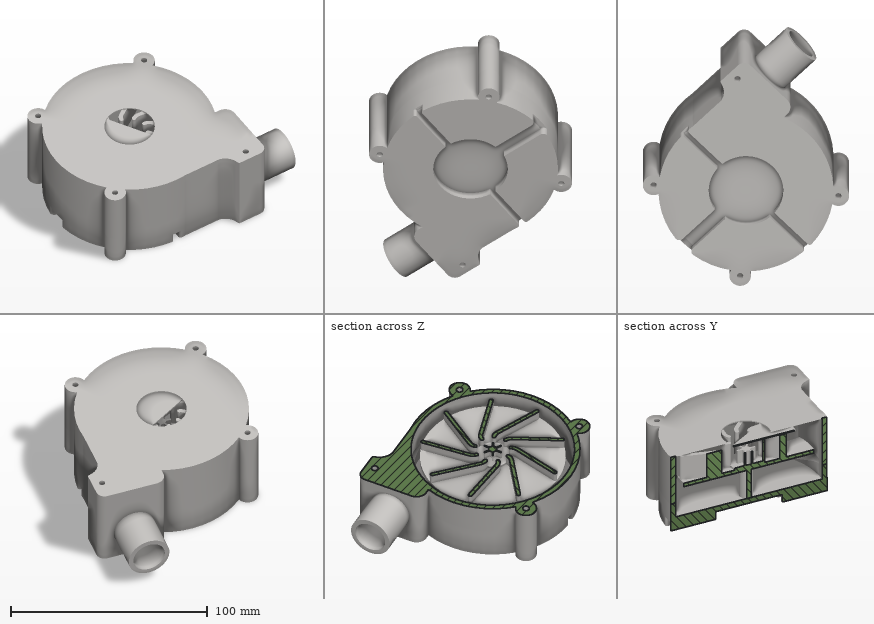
import cadquery as cq
import math

length = 116.6
width = 96.5
height = 44.4
split_z = 16.0
shell_radius = 44.5
cavity_radius = 83.0 / 2
lid_thickness = 0.6
inlet_radius = 12.8

block_left = 15.3
block_right = width - shell_radius
block_back = 50.0
block_left_round = 5.6
block_right_round = 4.4
wall_x = 44.2
neck_radius = 8.3
neck_start_y = 25.6
neck_end = (50.1, 32.2)
block_front_y = 32.9

boss_circle_radius = 47.1
boss_radius = 5.5
boss_angles = (138.2, 228.2, 318.2)
screw_hole_diameter = 3.1
block_screw = (46.9, 40.1)

tube_diameter = 22.0
tube_bore = 17.0
tube_end_y = length - shell_radius
tube_z = 16.4
tube_seat_depth = 3.5
tube_x = 33.1
cavity_floor = tube_z - tube_bore / 2

recess_diameter = 38.0
channel_height = 4.5
front_channel_width = 7.3
front_mouth_width = 12.4
side_channel_width = 3.4
side_mouth_width = 6.1
mouth_rise = 0.7

impeller_radius = 74.3 / 2
plate_top = 41.5
plate_thickness = 0.7
blade_top = plate_top - plate_thickness
blade_count = 9
blade_width = 2.2
blade_tip_radius = 9.3
blade_tip_angle = 13.5
blade_knee_radius = 12.4
blade_knee_sweep = 6.5
blade_bend_radius = 4.7
blade_sweep = 35.0
disc_top = 26.8
disc_thickness = 2.3
disc_bottom = disc_top - disc_thickness
boss_disc_radius = 9.0
boss_disc_height = 1.2
post_diameter = 4.4
post_top = 35.5
rib_count = 6
rib_reach = 5.0
rib_width = 0.9
rib_angle = 57.0
shaft_diameter = 7.3

plate_radius = 53.3 / 2
plate_edge_offset = 2.1
plate_edge_angle = 31.0


def polar(radius, angle):
    """Point at a distance from the fan axis and an angle in degrees from +X."""
    return (radius * math.cos(math.radians(angle)), radius * math.sin(math.radians(angle)))


def cylinder(radius, bottom, top):
    return cq.Workplane("XY", origin=(0, 0, bottom)).circle(radius).extrude(top - bottom)


def along_y(diameter, start, end):
    """Cylinder on the outlet axis between two Y positions."""
    plane = cq.Plane(origin=(tube_x, start, tube_z), xDir=(1, 0, 0), normal=(0, 1, 0))
    return cq.Workplane(plane).circle(diameter / 2).extrude(end - start)


def outlet_block(bottom, top):
    """Block that carries the outlet tube, with its flat wall, neck and rounded back corners."""
    block = (
        cq.Workplane("XY", origin=(0, 0, bottom))
        .moveTo(block_left, 0)
        .lineTo(wall_x, 0)
        .lineTo(wall_x, neck_start_y)
        .radiusArc(neck_end, neck_radius)
        .lineTo(block_right, block_front_y)
        .lineTo(block_right, block_back)
        .lineTo(block_left, block_back)
        .close()
        .extrude(top - bottom)
    )
    block = block.edges("|Z").edges(">Y").edges("<X").fillet(block_left_round)
    return block.edges("|Z").edges(">Y").edges(">X").fillet(block_right_round)


def housing_slice(bottom, top):
    """Solid slab of the housing outline with its screw holes."""
    boss_centres = [polar(boss_circle_radius, angle) for angle in boss_angles]
    plane = cq.Workplane("XY", origin=(0, 0, bottom))
    bosses = plane.pushPoints(boss_centres).circle(boss_radius).extrude(top - bottom)
    screws = (
        plane.pushPoints(boss_centres + [block_screw])
        .circle(screw_hole_diameter / 2)
        .extrude(top - bottom)
    )
    slab = cylinder(shell_radius, bottom, top).union(outlet_block(bottom, top))
    return slab.union(bosses).cut(screws)


def cut_air_path(half):
    """Remove the fan cavity, the tube seat and the passage that joins them."""
    cavity = cylinder(cavity_radius, cavity_floor, height - lid_thickness)
    passage = along_y(tube_bore, 0, block_back)
    seat = along_y(tube_diameter, block_back - tube_seat_depth, block_back)
    return half.cut(cavity).cut(passage).cut(seat)


def make_upper_housing():
    inlet = cylinder(inlet_radius, height - lid_thickness, height)
    return cut_air_path(housing_slice(split_z, height)).cut(inlet)


def channel(channel_width, mouth_width, angle):
    """Underside channel that runs from the axis out through the shell and flares at its mouth."""
    flare = (mouth_width - channel_width) / 2
    flare_end = math.sqrt(shell_radius**2 - (mouth_width / 2) ** 2)
    flare_start = flare_end - flare
    end = shell_radius + flare
    straight = cq.Workplane("XY", origin=(end / 2, 0, 0)).rect(end, channel_width).extrude(channel_height)
    mouth = (
        cq.Workplane("XY")
        .moveTo(flare_start, -channel_width / 2)
        .radiusArc((flare_end, -mouth_width / 2), flare)
        .lineTo(end, -mouth_width / 2)
        .lineTo(end, mouth_width / 2)
        .lineTo(flare_end, mouth_width / 2)
        .radiusArc((flare_start, channel_width / 2), flare)
        .close()
        .extrude(channel_height + mouth_rise)
    )
    return straight.union(mouth).rotate((0, 0, 0), (0, 0, 1), angle)


def make_lower_housing():
    lower = cut_air_path(housing_slice(0, split_z))
    lower = lower.cut(cylinder(recess_diameter / 2, 0, channel_height))
    lower = lower.cut(channel(front_channel_width, front_mouth_width, -90))
    for angle in (0, 180):
        lower = lower.cut(channel(side_channel_width, side_mouth_width, angle))
    return lower


def make_outlet_tube():
    start = block_back - tube_seat_depth
    return along_y(tube_diameter, start, tube_end_y).cut(along_y(tube_bore, start, tube_end_y))


def make_blade(angle):
    """Swept blade that is bent near its inner end and has rounded ends."""
    outer_end = impeller_radius - blade_width / 2
    return (
        cq.Workplane("XY", origin=(0, 0, disc_bottom))
        .moveTo(*polar(blade_tip_radius, angle))
        .radiusArc(polar(blade_knee_radius, angle - blade_knee_sweep), blade_bend_radius)
        .lineTo(*polar(outer_end, angle - blade_sweep))
        .offset2D(blade_width / 2)
        .extrude(blade_top - disc_bottom)
    )


def make_rib(angle):
    """Radial rib of the central post."""
    rib = cq.Workplane("XY", origin=(rib_reach / 2, 0, disc_bottom)).rect(rib_reach, rib_width)
    return rib.extrude(post_top - disc_bottom).rotate((0, 0, 0), (0, 0, 1), angle)


def make_impeller():
    impeller = cylinder(impeller_radius, disc_bottom, disc_top)
    impeller = impeller.union(cylinder(boss_disc_radius, disc_bottom, disc_top + boss_disc_height))
    impeller = impeller.union(cylinder(shaft_diameter / 2, cavity_floor, disc_bottom))
    impeller = impeller.union(cylinder(post_diameter / 2, disc_bottom, post_top))
    for i in range(rib_count):
        impeller = impeller.union(make_rib(rib_angle + i * 360 / rib_count))
    for i in range(blade_count):
        impeller = impeller.union(make_blade(blade_tip_angle + i * 360 / blade_count))
    return impeller


def make_half_plate():
    """Disc segment that rests on the blades and covers part of the inlet."""
    size = 2 * plate_radius
    removed = (
        cq.Workplane("XY", origin=(0, plate_edge_offset + size / 2, blade_top))
        .rect(size, size)
        .extrude(plate_thickness)
        .rotate((0, 0, 0), (0, 0, 1), plate_edge_angle)
    )
    return cylinder(plate_radius, blade_top, plate_top).cut(removed)


upper_housing = make_upper_housing()
lower_housing = make_lower_housing()
outlet_tube = make_outlet_tube()
impeller = make_impeller()
half_plate = make_half_plate()

result = cq.Compound.makeCompound(
    [
        upper_housing.solids().val(),
        lower_housing.solids().val(),
        outlet_tube.solids().val(),
        impeller.solids().val(),
        half_plate.solids().val(),
    ]
)